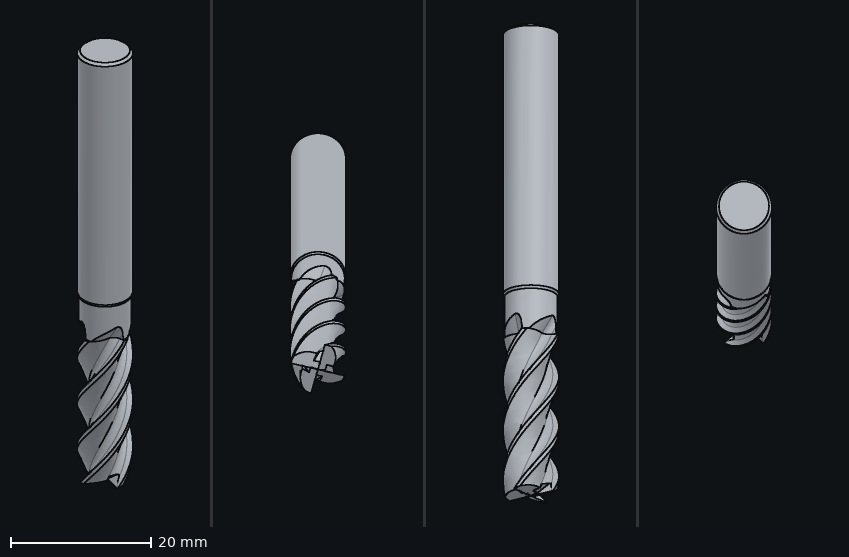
import cadquery as cq
import math

tool_length = 70.0
tool_diameter = 8.0
tool_radius = tool_diameter / 2
cut_length = 24.0
neck_top = 30.0
neck_radius = tool_radius - 0.195
shoulder_height = 0.4
shank_chamfer = 0.4

flute_count = 4
flute_pitch = 360 / flute_count
helix_lead = 30.0
land_angle = 11.0
back_middle_radius = 3.0
heel_radius = 2.3
heel_angle = 60.0
floor_radius = 2.3
rake_foot_radius = 3.1
rake_foot_angle = 2.5
first_edge_angle = -90.0
cut_twist = 360 * cut_length / helix_lead
runout_slope = 0.66
runout_height = 4.2

relief_slope = 0.29
gash_width = 1.05
gash_lean = 0.55
gash_start_radius = 0.7
gash_bend_radius = 2.5
gash_height = 1.55


def polar(radius, angle):
    """Point in the cross section at a radius and an angle in degrees."""
    return (radius * math.cos(math.radians(angle)), radius * math.sin(math.radians(angle)))


def draw_flute(sketch, edge_angle):
    """Draw one flute: convex tooth back, concave floor and straight rake face of the next tooth."""
    next_edge = edge_angle + flute_pitch
    sketch = sketch.threePointArc(
        polar(back_middle_radius, edge_angle + (land_angle + heel_angle) / 2),
        polar(heel_radius, edge_angle + heel_angle),
    )
    foot_angle = flute_pitch - rake_foot_angle
    sketch = sketch.threePointArc(
        polar(floor_radius, edge_angle + (heel_angle + foot_angle) / 2),
        polar(rake_foot_radius, edge_angle + foot_angle),
    )
    return sketch.lineTo(*polar(tool_radius, next_edge))


def fluted_section():
    """Cross section of the cutter at the tip."""
    sketch = cq.Workplane("XY").moveTo(*polar(tool_radius, first_edge_angle))
    for tooth in range(flute_count):
        edge_angle = first_edge_angle + tooth * flute_pitch
        sketch = sketch.threePointArc(
            polar(tool_radius, edge_angle + land_angle / 2), polar(tool_radius, edge_angle + land_angle)
        )
        sketch = draw_flute(sketch, edge_angle)
    return sketch.close()


def end_relief():
    """Cutting tool for the sloping end face behind the tooth whose edge lies on +X."""
    return (
        cq.Workplane("YZ")
        .moveTo(0, 0)
        .lineTo(tool_diameter, relief_slope * tool_diameter)
        .lineTo(tool_diameter, 0)
        .close()
        .extrude(tool_diameter)
    )


def end_gash():
    """Cutting tool for the leaning notch ahead of the tooth whose edge lies on +X."""
    rake_outline = [
        (gash_start_radius, 0),
        (gash_bend_radius, gash_height),
        (tool_diameter, gash_height),
        (tool_diameter, 0),
    ]
    corners = [cq.Vector(radius, gash_lean * height, height) for radius, height in rake_outline]
    rake_wire = cq.Wire.makePolygon(corners, close=True)
    return cq.Workplane(cq.Solid.extrudeLinear(rake_wire, [], cq.Vector(0, -gash_width, 0)))


def make_cutter():
    cutter = fluted_section().twistExtrude(cut_length, cut_twist)
    for tooth in range(flute_count):
        for end_cut in (end_relief(), end_gash()):
            cutter = cutter.cut(end_cut.rotate((0, 0, 0), (0, 0, 1), tooth * flute_pitch))
    return cutter


def flute_runout(land_edge_angle):
    """Flute continued into the neck, straight along its rake face and steadily outward."""
    outer_radius = 2 * tool_radius
    outline = cq.Workplane("XY").moveTo(*polar(tool_radius, land_edge_angle + land_angle))
    outline = draw_flute(outline, land_edge_angle)
    outline = outline.lineTo(*polar(outer_radius, land_edge_angle + flute_pitch))
    outline = outline.lineTo(*polar(outer_radius, land_edge_angle + land_angle)).close()
    outward = polar(runout_slope * runout_height, land_edge_angle + flute_pitch)
    travel = cq.Vector(*outward, runout_height)
    return cq.Workplane(
        cq.Solid.extrudeLinear(outline.val(), [], travel).translate(cq.Vector(0, 0, cut_length))
    )


def make_shank():
    half_outline = [
        (0, cut_length),
        (neck_radius, cut_length),
        (neck_radius, neck_top),
        (tool_radius, neck_top + shoulder_height),
        (tool_radius, tool_length - shank_chamfer),
        (tool_radius - shank_chamfer, tool_length),
        (0, tool_length),
    ]
    shank = cq.Workplane("XZ").polyline(half_outline).close().revolve(360, (0, 0), (0, 1))
    for tooth in range(flute_count):
        shank = shank.cut(flute_runout(first_edge_angle + cut_twist + tooth * flute_pitch))
    return shank


cutter = make_cutter()
shank = make_shank()

result = cq.Compound.makeCompound([cutter.val(), shank.val()])